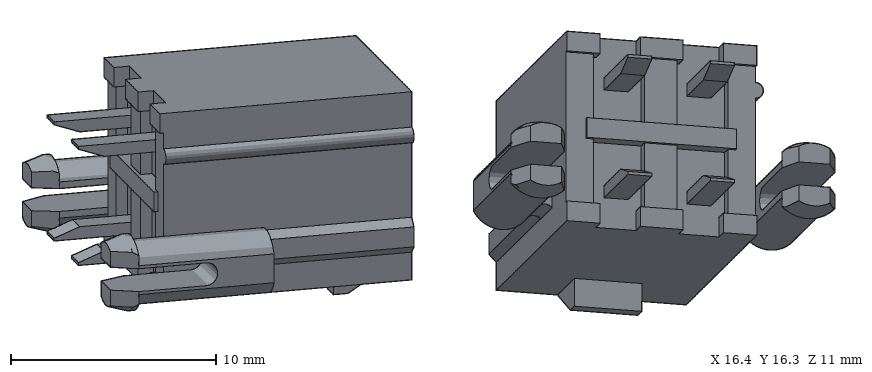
import cadquery as cq


housing_width = 9.6
housing_height = 9.6
housing_depth = 12.8
half_width = housing_width / 2
half_height = housing_height / 2

lip_height = 1.0
wall_setback = 0.2
floor_setback = 0.79
channel_pitch = 4.23
channel_width = 2.57
notch_pitch = 4.2
notch_width = 2.03
bar_width = 7.57
bar_height = 1.0

pin_pitch = 4.18
pin_width = 1.21
pin_thickness = 0.62
pin_reach = 3.5
pin_tip_length = 1.3
pin_tip_thickness = 0.15
upper_pin_outer_z = 2.82
lower_pin_outer_z = -3.26

latch_width = 3.4
latch_drop = 1.41
latch_length = 3.06
latch_flat = 0.74

key_radius = 0.4
key_z = 2.6

peg_axis_x = 6.78
peg_axis_z = -2.49
peg_outer_x = 8.19
peg_inner_x = 5.49
peg_back_y = 4.8
peg_radius = 1.59
head_radius = 1.88
head_start_y = -2.06
head_taper_y = -2.35
peg_end_y = -3.33
peg_end_half_width = 0.79
slot_width = 1.16
slot_root_y = 1.93
rail_height = 0.38
rail_base = 1.79
rail_crest = 1.02
bridge_front_y = 2.69
bridge_end_height = 1.83
bridge_waist = 1.5


def block(x_range, y_range, z_range):
    """Box spanning the given (low, high) ranges."""
    size = [high - low for low, high in (x_range, y_range, z_range)]
    corner = (x_range[0], y_range[0], z_range[0])
    return cq.Workplane("XY").box(*size, centered=False).translate(corner)


def span(center, width):
    return (center - width / 2, center + width / 2)


def section(y):
    """XZ workplane at the given Y; positive extrusion runs toward -Y."""
    return cq.Workplane("XZ", origin=(0, y, 0))


def make_housing():
    full_height = (-half_height, half_height)
    between_lips = span(0, housing_height - 2 * lip_height)
    body = block((-half_width, half_width), (0, housing_depth), full_height)
    body = body.cut(block((-half_width, half_width), (0, wall_setback), between_lips))
    for side in (-1, 1):
        channel = span(side * channel_pitch / 2, channel_width)
        notch = span(side * notch_pitch / 2, notch_width)
        body = body.cut(block(channel, (0, floor_setback), between_lips))
        body = body.cut(block(notch, (0, floor_setback), full_height))
    return body.union(block(span(0, bar_width), (0, floor_setback), span(0, bar_height)))


def make_pin(x, outer_z, inward):
    """Pin whose inner face tapers to the tip; inward is the Z sign toward the middle."""
    inner_z = outer_z + inward * pin_thickness
    return (
        cq.Workplane("YZ", origin=(x - pin_width / 2, 0, 0))
        .moveTo(floor_setback, outer_z)
        .lineTo(-pin_reach, outer_z)
        .lineTo(-pin_reach, outer_z + inward * pin_tip_thickness)
        .lineTo(-pin_reach + pin_tip_length, inner_z)
        .lineTo(floor_setback, inner_z)
        .close()
        .extrude(pin_width)
    )


def make_latch():
    front_y = housing_depth - latch_length
    bottom_z = -half_height - latch_drop
    return (
        cq.Workplane("YZ", origin=(-latch_width / 2, 0, 0))
        .moveTo(housing_depth, -half_height)
        .lineTo(front_y + latch_flat, bottom_z)
        .lineTo(front_y, bottom_z)
        .lineTo(front_y, -half_height)
        .close()
        .extrude(latch_width)
    )


def make_key_rib():
    return (
        section(housing_depth)
        .center(half_width, key_z)
        .circle(key_radius)
        .extrude(housing_depth - wall_setback)
    )


def make_peg():
    """Split peg on the +X side: flat-sided shaft with a tapered snap head."""
    turned = (
        cq.Workplane("XY")
        .moveTo(0, peg_back_y)
        .lineTo(peg_radius, peg_back_y)
        .lineTo(peg_radius, head_start_y)
        .lineTo(head_radius, head_start_y)
        .lineTo(head_radius, head_taper_y)
        .lineTo(peg_radius, peg_end_y)
        .lineTo(0, peg_end_y)
        .close()
        .revolve(360, (0, 0, 0), (0, 1, 0))
        .translate((peg_axis_x, 0, peg_axis_z))
    )
    outline = (
        cq.Workplane("XY", origin=(0, 0, peg_axis_z))
        .moveTo(peg_inner_x, peg_back_y)
        .lineTo(peg_outer_x, peg_back_y)
        .lineTo(peg_outer_x, head_start_y)
        .lineTo(peg_axis_x + peg_end_half_width, peg_end_y)
        .lineTo(peg_axis_x - peg_end_half_width, peg_end_y)
        .lineTo(peg_inner_x, head_start_y)
        .close()
        .extrude(head_radius, both=True)
    )
    slot_radius = slot_width / 2
    slot_center_y = slot_root_y - slot_radius
    peg_width = (peg_inner_x, peg_outer_x)
    slot = block(peg_width, (peg_end_y, slot_center_y), span(peg_axis_z, slot_width))
    slot_root = (
        cq.Workplane("YZ", origin=(peg_inner_x, slot_center_y, peg_axis_z))
        .circle(slot_radius)
        .extrude(peg_outer_x - peg_inner_x)
    )
    return turned.intersect(outline).cut(slot).cut(slot_root)


def make_rail():
    """Trapezoid rail on the +X side, from the rear of the housing to the peg."""
    return (
        section(housing_depth)
        .center(half_width, peg_axis_z)
        .moveTo(0, -rail_base / 2)
        .lineTo(rail_height, -rail_crest / 2)
        .lineTo(rail_height, rail_crest / 2)
        .lineTo(0, rail_base / 2)
        .close()
        .extrude(housing_depth - peg_back_y)
    )


def make_bridge():
    """Web with hollowed top and bottom that joins the +X peg to the housing."""
    gap = peg_inner_x - half_width
    end = bridge_end_height / 2
    waist = bridge_waist / 2
    return (
        section(peg_back_y)
        .center(half_width, peg_axis_z)
        .moveTo(0, -end)
        .threePointArc((gap / 2, -waist), (gap, -end))
        .lineTo(gap, end)
        .threePointArc((gap / 2, waist), (0, end))
        .close()
        .extrude(peg_back_y - bridge_front_y)
    )


result = make_housing().union(make_latch()).union(make_key_rib())

for side in (-1, 1):
    pin_x = side * pin_pitch / 2
    result = result.union(make_pin(pin_x, upper_pin_outer_z, -1))
    result = result.union(make_pin(pin_x, lower_pin_outer_z, 1))

for feature in (make_rail(), make_bridge(), make_peg()):
    result = result.union(feature).union(feature.mirror("YZ"))